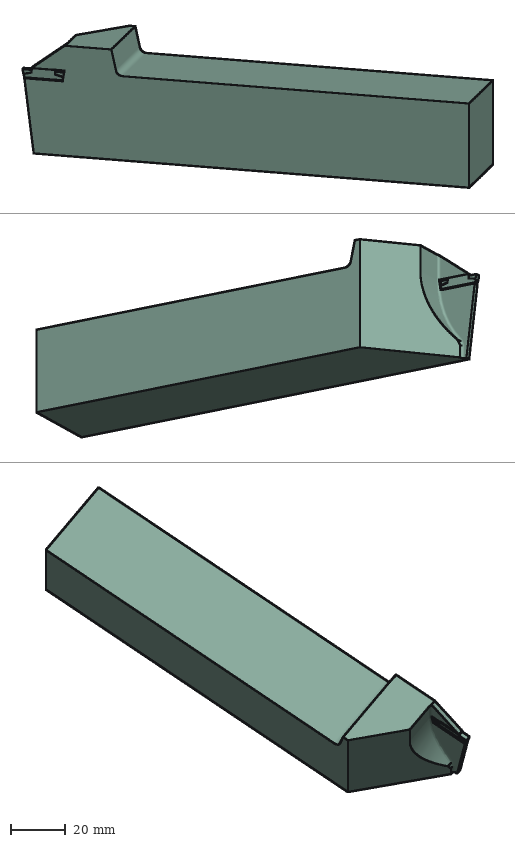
import cadquery as cq
import math

length = 170.0
shank_width = 32.1
shank_height = 32.1
total_height = 42.0

heel_x = 4.2
brow_foot_x = 2.9
brow_top_x = 16.0
head_end_x = 33.8
head_back_foot_x = 36.0
head_fillet = 2.5

blade_thickness = 2.0
root_fillet = 1.0
bevel_end_x = 31.6
bevel_angle = 48.0
web_front_x = 6.0
web_top_z = 4.8
scoop_foot_x = 6.6
scoop_foot_z = 6.8
scoop_wall_x = 16.2
scoop_top_z = 32.0
scoop_run = scoop_wall_x - scoop_foot_x
scoop_rise = scoop_top_z - scoop_foot_z
scoop_radius = (scoop_run**2 + scoop_rise**2) / (2 * scoop_run)

insert_length = 15.8
insert_bottom_z = 28.4
insert_top_z = 32.5
nose_top_z = 31.8
nose_length = 3.4
end_lean = 0.7
insert_edge_chamfer = 0.5
flank_relief = 0.2
relief_tip_z = 30.0
relief_step_z = 30.8
pocket_end_gap = 0.2

margin = 8.5


def prism(points, y_start, y_end):
    """Extrude an XZ outline from y_start to y_end."""
    plane = cq.Workplane("XZ", origin=(0, y_start, 0))
    return plane.polyline(points).close().extrude(y_start - y_end)


def make_side_profile():
    """Full-width block with the raised head."""
    front_slope = (heel_x - end_lean) / insert_bottom_z
    front_top_x = heel_x - front_slope * shank_height
    block = prism(
        [
            (heel_x, 0),
            (length, 0),
            (length, shank_height),
            (head_back_foot_x, shank_height),
            (head_end_x, total_height),
            (brow_top_x, total_height),
            (brow_foot_x, shank_height),
            (front_top_x, shank_height),
        ],
        0,
        shank_width,
    )
    foot = cq.selectors.NearestToPointSelector((head_back_foot_x, shank_width / 2, shank_height))
    return block.edges(foot).fillet(head_fillet)


def make_scoop():
    """Space behind the blade in front of the web and the concave wall."""
    sweep = math.asin(scoop_rise / scoop_radius) / 2
    arc_middle = (
        scoop_wall_x - scoop_radius * (1 - math.cos(sweep)),
        scoop_top_z - scoop_radius * math.sin(sweep),
    )
    scoop = (
        cq.Workplane("XZ", origin=(0, blade_thickness, 0))
        .moveTo(-margin, -margin)
        .lineTo(web_front_x, -margin)
        .lineTo(web_front_x, web_top_z)
        .lineTo(scoop_foot_x, scoop_foot_z)
        .threePointArc(arc_middle, (scoop_wall_x, scoop_top_z))
        .lineTo(scoop_wall_x, total_height + margin)
        .lineTo(-margin, total_height + margin)
        .close()
        .extrude(-shank_width)
    )
    corner = cq.selectors.BoxSelector(
        (web_front_x - root_fillet, blade_thickness - root_fillet, -margin - root_fillet),
        (scoop_wall_x + root_fillet, blade_thickness + root_fillet, total_height + margin),
    )
    root_edges = scoop.faces("<Y").edges(corner)
    return scoop.newObject(root_edges.vals()).fillet(root_fillet)


def make_bevel():
    """Wedge that slants the end of the shank behind the blade."""
    run = (shank_width - blade_thickness) / math.tan(math.radians(bevel_angle))
    overrun = margin / math.tan(math.radians(bevel_angle))
    return (
        cq.Workplane("XY", origin=(0, 0, -margin))
        .polyline(
            [
                (bevel_end_x - run, blade_thickness),
                (bevel_end_x + overrun, shank_width + margin),
                (-margin, shank_width + margin),
                (-margin, blade_thickness),
            ]
        )
        .close()
        .extrude(total_height + 2 * margin)
    )


def make_pocket():
    """Slot in the blade that seats the insert."""
    end_x = insert_length + pocket_end_gap
    return prism(
        [
            (-margin, insert_bottom_z),
            (end_x - end_lean, insert_bottom_z),
            (end_x, insert_top_z),
            (-margin, insert_top_z),
        ],
        0,
        blade_thickness,
    )


def make_holder():
    return make_side_profile().cut(make_bevel()).cut(make_scoop()).cut(make_pocket())


def make_flank_relief(y_start, y_end):
    """Shallow side relief that leaves both noses at full width."""
    return prism(
        [
            (-margin, insert_bottom_z - margin),
            (insert_length + margin, insert_bottom_z - margin),
            (insert_length + margin, relief_tip_z),
            (insert_length, relief_tip_z),
            (insert_length - nose_length, relief_step_z),
            (insert_length - nose_length, insert_top_z),
            (nose_length, insert_top_z),
            (nose_length, relief_step_z),
            (0, relief_tip_z),
            (-margin, relief_tip_z),
        ],
        y_start,
        y_end,
    )


def make_insert():
    body = prism(
        [
            (end_lean, insert_bottom_z),
            (insert_length - end_lean, insert_bottom_z),
            (insert_length, nose_top_z),
            (insert_length - nose_length, nose_top_z),
            (insert_length - nose_length, insert_top_z),
            (nose_length, insert_top_z),
            (nose_length, nose_top_z),
            (0, nose_top_z),
        ],
        0,
        blade_thickness,
    )
    body = body.faces("<Z").edges("|X").chamfer(insert_edge_chamfer)
    body = body.cut(make_flank_relief(0, flank_relief))
    return body.cut(make_flank_relief(blade_thickness - flank_relief, blade_thickness))


holder = make_holder()
insert = make_insert()
result = cq.Compound.makeCompound([holder.solids().val(), insert.solids().val()])